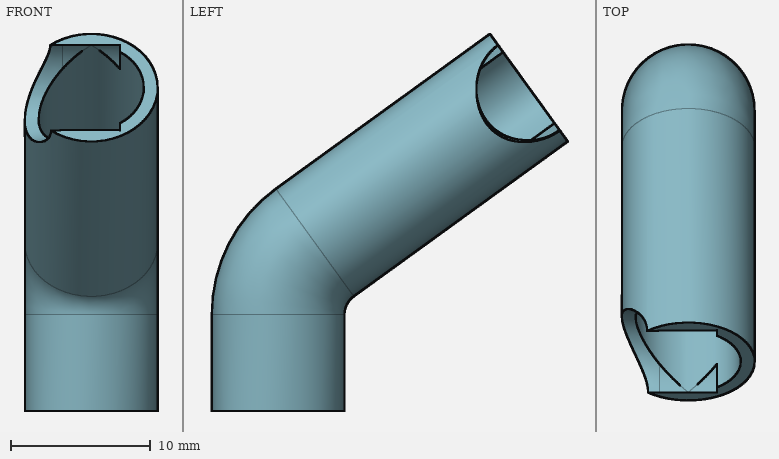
import cadquery as cq
import math

outer_radius = 9.525 / 2
wall = 1.0
bore_radius = outer_radius - wall
bend_radius = 6.35
bend_angle = 54.1
vertical_length = 6.92
inclined_length = 18.92

rod_half_length = 2.07
rod_bend_radius = 12.7
rod_bend_angle = 45.0


def bend_point(angle):
    """(y, z) on the centreline after turning through an angle in degrees."""
    turn = math.radians(angle)
    y = -bend_radius * (1 - math.cos(turn))
    z = vertical_length + bend_radius * math.sin(turn)
    return y, z


bend_end_y, bend_end_z = bend_point(bend_angle)
lean = math.radians(bend_angle)
end_y = bend_end_y - inclined_length * math.sin(lean)
end_z = bend_end_z + inclined_length * math.cos(lean)


def bent_rod(radius):
    """Solid round rod along the tube's centreline."""
    path = (
        cq.Workplane("YZ")
        .lineTo(0, vertical_length)
        .threePointArc(bend_point(bend_angle / 2), (bend_end_y, bend_end_z))
        .lineTo(end_y, end_z)
    )
    return cq.Workplane("XY").circle(radius).sweep(path)


def end_opening():
    """Rod centred on the end face: straight in the middle, curving down toward -X."""
    curve_start = cq.Workplane("YZ", origin=(-rod_half_length, end_y, end_z))
    straight = curve_start.circle(bore_radius).extrude(2 * rod_half_length)
    curve = curve_start.circle(bore_radius).revolve(
        rod_bend_angle, (0, -rod_bend_radius), (-1, -rod_bend_radius)
    )
    return straight.union(curve)


tube = bent_rod(outer_radius).cut(bent_rod(bore_radius))
result = tube.cut(end_opening())